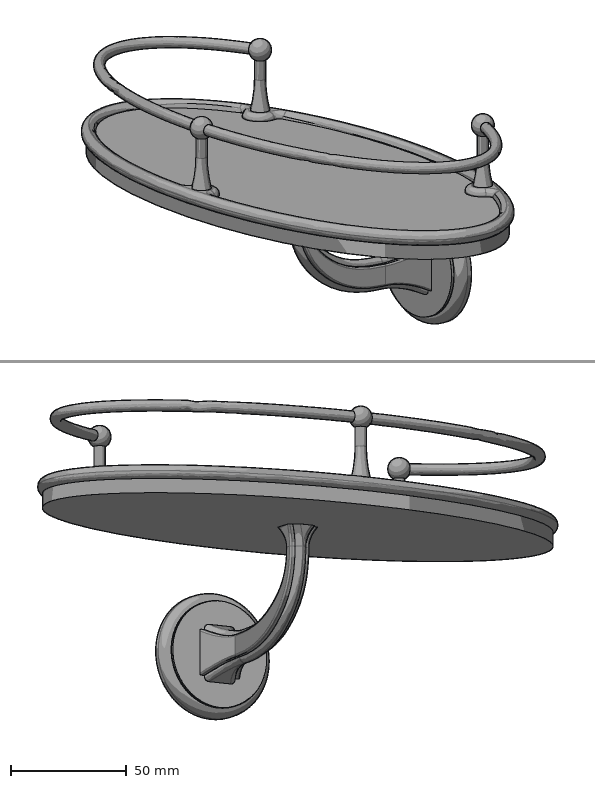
import cadquery as cq
import math


TRAY_LENGTH = 249.9
TRAY_DEPTH = 125.0
TRAY_HEIGHT = 12.5
BEAD_RADIUS = 3.12
WELL_ROUND = 2.7
WALL_INSET = 2.0
FLOOR_HEIGHT = TRAY_HEIGHT - BEAD_RADIUS

RAIL_INSET = 8.12
RAIL_HEIGHT = 39.5
RAIL_RADIUS = 2.5
REAR_POST_X = 75.0
BALL_RADIUS = 5.0
POST_RADIUS = 2.5
POST_FOOT_RADIUS = 4.2
POST_TAPER_TOP = 26.5
PAD_RADIUS = 7.7
PAD_BLEND = 3.0

PLATE_RADIUS = 27.5
PLATE_HEIGHT = -45.0
PLATE_BACK = 75.2
PLATE_RIM = 2.2
PLATE_EDGE_ROUND = 4.2
PLATE_FACE_RADIUS = 23.5
PLATE_THICKNESS = 8.0
PLATE_FRONT = PLATE_BACK - PLATE_THICKNESS

ARM_WIDTH = 9.5
ARM_TOP_DEPTH = 9.0
ARM_ROOT_HEIGHT = 14.7
SHOULDER_WIDTH = 2.2
SHOULDER_ROUND = 0.7
LOBE_DEPTH = 2.5
LOBE_ROUND = 2.37
BEND_FULLNESS = 0.72
TOP_FLARE_LENGTH = 9.0
TOP_FLARE_SPREAD = 2.7
ROOT_FLARE_START = 45.7
ROOT_FLARE_LENGTH = PLATE_FRONT - ROOT_FLARE_START
ROOT_FLARE_SPREAD = 5.2
FLARE_STEPS = 4

RAIL_A = TRAY_LENGTH / 2 - RAIL_INSET
RAIL_B = TRAY_DEPTH / 2 - RAIL_INSET
REAR_POST_ANGLE = math.acos(REAR_POST_X / RAIL_A)
REAR_POST_Y = RAIL_B * math.sin(REAR_POST_ANGLE)
POST_PLACES = [(-REAR_POST_X, REAR_POST_Y), (0, -RAIL_B), (REAR_POST_X, REAR_POST_Y)]


def oval(inset, height):
    """Workplane holding the tray's oval, drawn in by `inset`, at `height`."""
    plane = cq.Workplane("XY").workplane(offset=height)
    return plane.ellipse(TRAY_LENGTH / 2 - inset, TRAY_DEPTH / 2 - inset)


def make_well():
    """Hollow above the floor, stopping short of the round pads that carry the posts."""
    well = oval(2 * BEAD_RADIUS, FLOOR_HEIGHT).extrude(BEAD_RADIUS)
    pads = (
        cq.Workplane("XY")
        .workplane(offset=FLOOR_HEIGHT)
        .pushPoints(POST_PLACES)
        .circle(PAD_RADIUS)
        .extrude(BEAD_RADIUS)
    )
    well = well.cut(pads)
    return well.edges("not (<Z or >Z or >X)").fillet(PAD_BLEND)


def make_tray():
    """Oval plate with a round bead along its edge, and pads that run smoothly into the bead."""
    wall = oval(WALL_INSET, 0).extrude(TRAY_HEIGHT - 2 * BEAD_RADIUS)
    top = oval(BEAD_RADIUS, 0).extrude(TRAY_HEIGHT)
    top = top.cut(make_well())
    well_rim = top.newObject(top.faces(">Z").val().innerWires()).edges()
    top = well_rim.fillet(WELL_ROUND)
    bead_path = oval(BEAD_RADIUS, FLOOR_HEIGHT)
    bead_start = (TRAY_LENGTH / 2 - BEAD_RADIUS, 0, FLOOR_HEIGHT)
    bead = cq.Workplane("XZ", origin=bead_start).circle(BEAD_RADIUS).sweep(bead_path)
    return wall.union(top).union(bead)


def make_post():
    """Flared foot, stem and ball, turned about the Z axis."""
    stem = (
        cq.Workplane("XZ")
        .moveTo(0, FLOOR_HEIGHT)
        .lineTo(POST_FOOT_RADIUS, FLOOR_HEIGHT)
        .lineTo(POST_FOOT_RADIUS, TRAY_HEIGHT)
    )
    taper_height = POST_TAPER_TOP - TRAY_HEIGHT
    taper_spread = POST_FOOT_RADIUS - POST_RADIUS
    taper_arc = (taper_height**2 + taper_spread**2) / (2 * taper_spread)
    stem = (
        stem.radiusArc((POST_RADIUS, POST_TAPER_TOP), taper_arc)
        .lineTo(POST_RADIUS, RAIL_HEIGHT)
        .lineTo(0, RAIL_HEIGHT)
        .close()
        .revolve(360, (0, 0, 0), (0, 1, 0))
    )
    ball = cq.Workplane("XY").sphere(BALL_RADIUS).translate((0, 0, RAIL_HEIGHT))
    return stem.union(ball)


def make_rail():
    """Round bar following the oval from one rear post, past the front one, to the other."""
    path = cq.Workplane("XY").workplane(offset=RAIL_HEIGHT).ellipseArc(
        RAIL_A,
        RAIL_B,
        180 - math.degrees(REAR_POST_ANGLE),
        360 + math.degrees(REAR_POST_ANGLE),
        startAtCurrent=False,
    )
    edge = path.val()
    profile_plane = cq.Plane(origin=edge.startPoint(), normal=edge.tangentAt(0))
    return cq.Workplane(profile_plane).circle(RAIL_RADIUS).sweep(path)


def make_shelf():
    shelf = make_tray()
    post = make_post()
    for x, y in POST_PLACES:
        shelf = shelf.union(post.translate((x, y, 0)))
    return shelf.union(make_rail())


def make_wall_plate():
    """Round plate with a rounded front edge and a slightly raised face."""
    shoulder = PLATE_RIM + PLATE_EDGE_ROUND
    return (
        cq.Workplane("XY")
        .lineTo(PLATE_RADIUS, 0)
        .lineTo(PLATE_RADIUS, -PLATE_RIM)
        .radiusArc((PLATE_RADIUS - PLATE_EDGE_ROUND, -shoulder), PLATE_EDGE_ROUND)
        .lineTo(PLATE_FACE_RADIUS, -shoulder)
        .lineTo(PLATE_FACE_RADIUS, -PLATE_THICKNESS)
        .lineTo(0, -PLATE_THICKNESS)
        .close()
        .revolve(360, (0, 0, 0), (0, 1, 0))
        .translate((0, PLATE_BACK, PLATE_HEIGHT))
    )


def arm_section(plane, width, height):
    """Rectangle with rounded corners that has a narrower, rounded lobe on its two short sides."""
    side = width / 2
    shoulder = height / 2 - LOBE_DEPTH
    lobe_side = side - SHOULDER_WIDTH
    tip = height / 2
    section = cq.Workplane(plane).moveTo(side, SHOULDER_ROUND - shoulder)
    for turn in (1, -1):
        section = (
            section.lineTo(turn * side, turn * (shoulder - SHOULDER_ROUND))
            .radiusArc((turn * (side - SHOULDER_ROUND), turn * shoulder), -SHOULDER_ROUND)
            .lineTo(turn * lobe_side, turn * shoulder)
            .lineTo(turn * lobe_side, turn * (tip - LOBE_ROUND))
            .radiusArc((turn * (lobe_side - LOBE_ROUND), turn * tip), -LOBE_ROUND)
            .lineTo(turn * (LOBE_ROUND - lobe_side), turn * tip)
            .radiusArc((-turn * lobe_side, turn * (tip - LOBE_ROUND)), -LOBE_ROUND)
            .lineTo(-turn * lobe_side, turn * shoulder)
            .lineTo(turn * (SHOULDER_ROUND - side), turn * shoulder)
            .radiusArc((-turn * side, turn * (shoulder - SHOULDER_ROUND)), -SHOULDER_ROUND)
        )
    return section.close().val()


def make_flare(plane, height, length, spread):
    """Arm section drawn along the plane's normal, its sides curving outwards by `spread`."""
    arc_radius = (length**2 + spread**2) / (2 * spread)
    sections = []
    for step in range(FLARE_STEPS + 1):
        along = length * step / FLARE_STEPS
        growth = arc_radius - math.sqrt(arc_radius**2 - along**2)
        station = cq.Plane(plane.toWorldCoords((0, 0, along)), plane.xDir, plane.zDir)
        sections.append(arm_section(station, ARM_WIDTH + 2 * growth, height + 2 * growth))
    return cq.Workplane(cq.Solid.makeLoft(sections))


def bend_curve(reach, drop):
    """Full quarter turn from below the root of the bend up to the foot of the top flare."""
    middle_y = ROOT_FLARE_START - BEND_FULLNESS * reach
    middle_z = -TOP_FLARE_LENGTH - BEND_FULLNESS * drop
    points = [
        cq.Vector(0, ROOT_FLARE_START, -TOP_FLARE_LENGTH - drop),
        cq.Vector(0, middle_y, middle_z),
        cq.Vector(0, ROOT_FLARE_START - reach, -TOP_FLARE_LENGTH),
    ]
    forward = cq.Vector(0, -1, 0)
    diagonal = cq.Vector(0, -reach, drop).normalized()
    upward = cq.Vector(0, 0, 1)
    return cq.Edge.makeSpline(points, tangents=[forward, diagonal, upward])


def make_bend_bar(width, inset, edge_round):
    """Bent bar lying `inset` inside the arm's outline, with its long edges rounded."""
    drop = -TOP_FLARE_LENGTH - PLATE_HEIGHT
    half_root = ARM_ROOT_HEIGHT / 2 - inset
    half_top = ARM_TOP_DEPTH / 2 - inset
    outer = bend_curve(ROOT_FLARE_START + half_top, drop + half_root)
    inner = bend_curve(ROOT_FLARE_START - half_top, drop - half_root)
    root_end = cq.Edge.makeLine(outer.startPoint(), inner.startPoint())
    top_end = cq.Edge.makeLine(outer.endPoint(), inner.endPoint())
    outline = cq.Wire.assembleEdges([outer, top_end, inner, root_end])
    solid = cq.Solid.extrudeLinear(cq.Face.makeFromWires(outline), cq.Vector(width, 0, 0))
    bar = cq.Workplane(solid).translate((-width / 2, 0, 0))
    return bar.edges("%BSPLINE").fillet(edge_round)


def make_bend():
    """Bend that thins from the wall end up to the tray end: a wide core and a full-depth lobe."""
    core = make_bend_bar(ARM_WIDTH, LOBE_DEPTH, SHOULDER_ROUND)
    lobe = make_bend_bar(ARM_WIDTH - 2 * SHOULDER_WIDTH, 0, LOBE_ROUND)
    return core.union(lobe)


def make_bracket():
    top_plane = cq.Plane(origin=(0, 0, -TOP_FLARE_LENGTH), xDir=(1, 0, 0), normal=(0, 0, 1))
    root_plane = cq.Plane(
        origin=(0, ROOT_FLARE_START, PLATE_HEIGHT), xDir=(1, 0, 0), normal=(0, 1, 0)
    )
    top_flare = make_flare(top_plane, ARM_TOP_DEPTH, TOP_FLARE_LENGTH, TOP_FLARE_SPREAD)
    root_flare = make_flare(root_plane, ARM_ROOT_HEIGHT, ROOT_FLARE_LENGTH, ROOT_FLARE_SPREAD)
    return make_wall_plate().union(root_flare).union(make_bend()).union(top_flare)


shelf = make_shelf()
bracket = make_bracket()

result = cq.Compound.makeCompound([shelf.val(), bracket.val()])